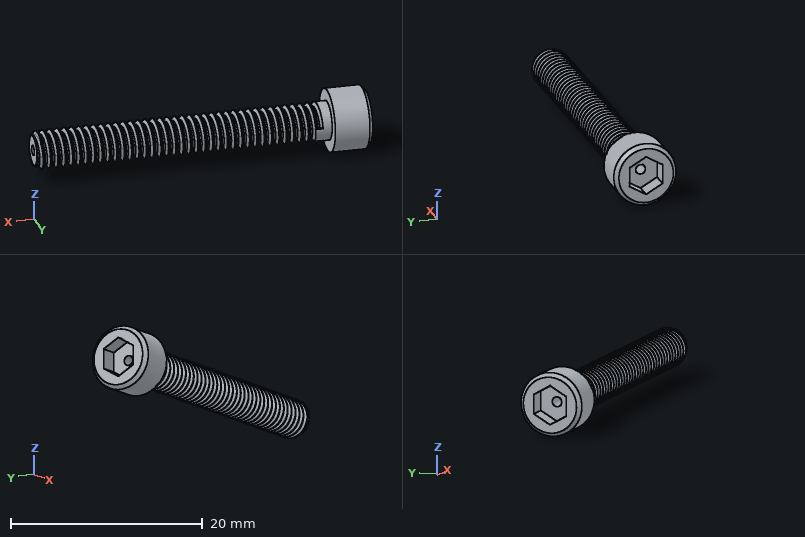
import cadquery as cq
import math

screw_length = 35.85
head_diameter = 6.78
head_length = 4.15
head_chamfer = 0.43
socket_across_flats = 3.6
socket_depth = head_length / 2
vent_diameter = 1.05
tip_chamfer = 0.45

thread_diameter = 4.15
thread_start = 5.5
thread_turns = 38.25
pitch = (screw_length - thread_start) / thread_turns
crest_flat = pitch / 8
flank_angle = 30.0
sharp_height = pitch / 2 / math.tan(math.radians(flank_angle))
thread_depth = 5 / 8 * sharp_height
groove_overshoot = 0.05

thread_radius = thread_diameter / 2
root_radius = thread_radius - thread_depth


def along_x(start, length, diameter):
    """Cylinder on the screw axis."""
    cylinder = cq.Workplane("YZ", origin=(start, 0, 0)).circle(diameter / 2).extrude(length)
    return cylinder.rotate((0, 0, 0), (1, 0, 0), 90)


def make_head():
    return along_x(0, head_length, head_diameter).faces("<X").chamfer(head_chamfer)


def make_shank():
    """Plain shank with a chamfered tip."""
    shank = along_x(head_length, screw_length - head_length, thread_diameter)
    return shank.faces(">X").chamfer(tip_chamfer)


def make_groove_turn():
    """Cutter for one right-hand turn of the thread groove, starting on the +Y side at X = 0."""
    outer_radius = thread_radius + groove_overshoot
    flank_slope = math.tan(math.radians(flank_angle))
    outer_half_width = (pitch - crest_flat) / 2 + groove_overshoot * flank_slope
    root_half_width = outer_half_width - (outer_radius - root_radius) * flank_slope

    corners = [
        (root_radius, -root_half_width),
        (outer_radius, -outer_half_width),
        (outer_radius, outer_half_width),
        (root_radius, root_half_width),
    ]
    helices = [
        cq.Wire.makeHelix(pitch, pitch, radius).translate(cq.Vector(0, 0, shift))
        for radius, shift in corners
    ]

    faces = []
    for helix, next_helix in zip(helices, helices[1:] + helices[:1]):
        faces.append(cq.Face.makeRuledSurface(helix, next_helix))
    for wire_end in (0, 1):
        section = [helix.positionAt(wire_end) for helix in helices]
        faces.append(cq.Face.makeFromWires(cq.Wire.makePolygon(section, close=True)))
    turn = cq.Solid.makeSolid(cq.Shell.makeShell(faces)).fix()

    return turn.rotate(cq.Vector(0, 0, 0), cq.Vector(1, 1, 1), 120)


def make_thread_groove():
    """Turns of the groove joined end to end, running out past the tip."""
    turn = make_groove_turn()
    turn_count = math.ceil(thread_turns) + 1
    return [
        turn.translate(cq.Vector(thread_start + index * pitch, 0, 0))
        for index in range(turn_count)
    ]


def make_socket():
    """Hexagonal socket with two corners on the Z direction."""
    sides = 6
    across_corners = socket_across_flats / math.cos(math.pi / sides)
    hexagon = cq.Workplane("YZ").transformed(rotate=(0, 0, 90)).polygon(sides, across_corners)
    return hexagon.extrude(socket_depth)


blank = make_head().union(make_shank())
blank = blank.cut(make_socket())
blank = blank.cut(along_x(0, screw_length, vent_diameter))
result = cq.Workplane(blank.val().cut(*make_thread_groove()))